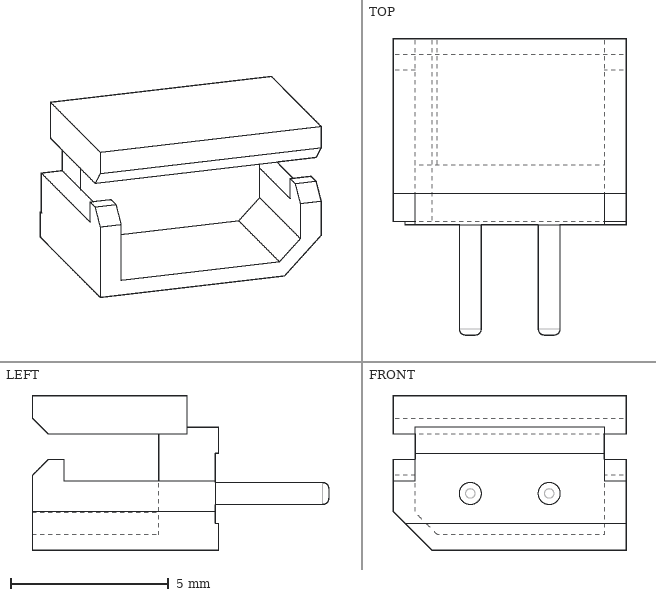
import cadquery as cq

WIDTH = 7.4
DEPTH = 5.9
HEIGHT = 4.9
KEY_CHAMFER = 1.23

PLATE_THICKNESS = 1.22
PLATE_SETBACK = 1.0

WALL_THICKNESS = 0.7
WALL_TOP = 2.2
LIP_TOP = 2.88
LIP_LENGTH = 1.0
FLOOR_THICKNESS = 0.5
INNER_CHAMFER = 0.7
ENTRY_CHAMFER = 0.5

BLOCK_TOP = 3.9
BLOCK_DEPTH = 1.9

RECESS_DEPTH = 0.1
RECESS_BOTTOM = 0.85
RECESS_TOP = 3.07

PIN_DIAMETER = 0.7
PIN_PITCH = 2.5
PIN_Z = 1.8
PIN_TIP_Y = -3.5
PIN_TIP_RADIUS = 0.2

CAVITY_WIDTH = WIDTH - 2 * WALL_THICKNESS
PLATE_BOTTOM = HEIGHT - PLATE_THICKNESS


def box(width, y_front, y_back, z_bottom, z_top):
    """Block centred on X between the given Y and Z limits."""
    blank = cq.Workplane("XY").box(width, y_back - y_front, z_top - z_bottom, centered=(True, False, False))
    return blank.translate((0, y_front, z_bottom))


def extrude_side_profile(points):
    """Extrude a closed (Y, Z) outline over the full housing width."""
    return cq.Workplane("YZ").polyline(points).close().extrude(WIDTH / 2, both=True)


def make_top_plate():
    return extrude_side_profile([
        (PLATE_SETBACK, PLATE_BOTTOM),
        (DEPTH - ENTRY_CHAMFER, PLATE_BOTTOM),
        (DEPTH, PLATE_BOTTOM + ENTRY_CHAMFER),
        (DEPTH, HEIGHT),
        (PLATE_SETBACK, HEIGHT),
    ])


def make_cavity():
    """Open-backed, open-topped space between the side walls."""
    cavity = box(CAVITY_WIDTH, BLOCK_DEPTH, DEPTH, FLOOR_THICKNESS, LIP_TOP)
    return cavity.edges("|Y and <X and <Z").chamfer(INNER_CHAMFER)


def make_tray():
    tray = extrude_side_profile([
        (0, 0),
        (DEPTH, 0),
        (DEPTH, LIP_TOP - ENTRY_CHAMFER),
        (DEPTH - ENTRY_CHAMFER, LIP_TOP),
        (DEPTH - LIP_LENGTH, LIP_TOP),
        (DEPTH - LIP_LENGTH, WALL_TOP),
        (0, WALL_TOP),
    ])
    tray = tray.edges("|Y and <X and <Z").chamfer(KEY_CHAMFER)
    return tray.cut(make_cavity())


def make_front_block():
    """Block rising from the solid front of the tray into the underside of the plate."""
    return box(CAVITY_WIDTH, 0, BLOCK_DEPTH, WALL_TOP, BLOCK_TOP)


def make_pin(x):
    pin = (
        cq.Workplane("XZ", origin=(x, RECESS_DEPTH, PIN_Z))
        .circle(PIN_DIAMETER / 2)
        .extrude(RECESS_DEPTH - PIN_TIP_Y)
    )
    return pin.faces("<Y").edges().fillet(PIN_TIP_RADIUS)


housing = make_tray().union(make_front_block()).union(make_top_plate())
result = housing.cut(box(WIDTH, 0, RECESS_DEPTH, RECESS_BOTTOM, RECESS_TOP))
for pin_x in (-PIN_PITCH / 2, PIN_PITCH / 2):
    result = result.union(make_pin(pin_x))